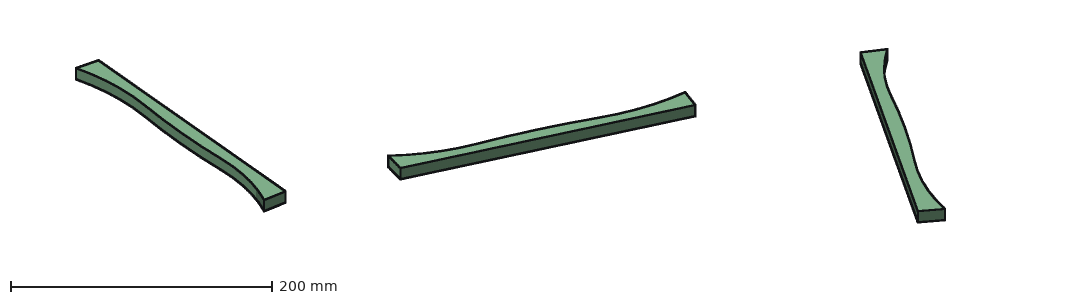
import cadquery as cq
import math

length = 246.79
width = 25.73
thickness = 10.0

left_end_width = 21.05
right_end_lean = 1.6
right_corner_rise = 4.64

left_junction = (75.6, 11.24)
right_junction = (177.0, 13.2)
left_arc_sagitta = 3.82

front_left = (0.0, 0.0)
back_left = (0.0, left_end_width)
back_right = (length - right_end_lean, width)
front_right = (length, right_corner_rise)


def arc_midpoint(start, end, sagitta):
    """Point halfway along an arc that bulges to the left of the line from start to end."""
    run = end[0] - start[0]
    rise = end[1] - start[1]
    chord = math.hypot(run, rise)
    return (
        (start[0] + end[0]) / 2 - sagitta * rise / chord,
        (start[1] + end[1]) / 2 + sagitta * run / chord,
    )


def make_outline():
    """Closed outline whose front edge is three arcs, each tangent to the one before."""
    return (
        cq.Workplane("XY")
        .moveTo(*front_left)
        .threePointArc(arc_midpoint(front_left, left_junction, left_arc_sagitta), left_junction)
        .tangentArcPoint(right_junction, relative=False)
        .tangentArcPoint(front_right, relative=False)
        .lineTo(*back_right)
        .lineTo(*back_left)
        .close()
    )


result = make_outline().extrude(thickness)